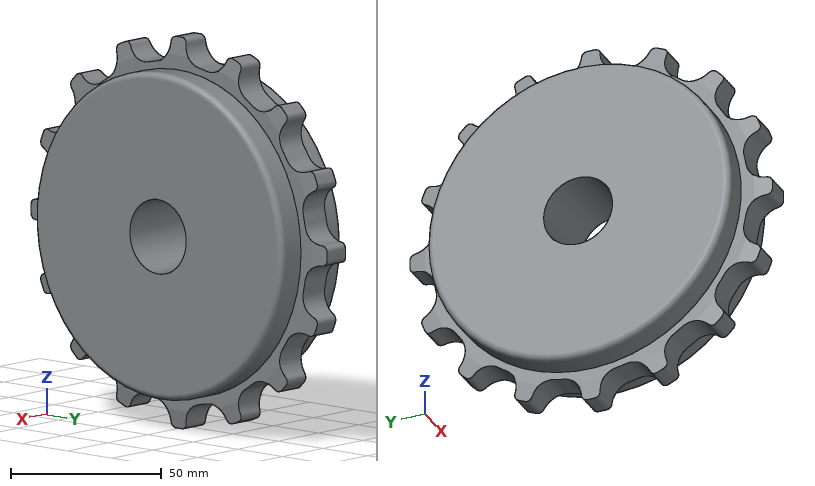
import cadquery as cq
import math

hub_width = 30.0
hub_radius = 55.1
hub_edge_radius = 2.1
bore_diameter = 25.1

tooth_count = 16
tip_radius = 66.0
root_radius = 57.6
rim_width = 10.7

tip_half_width = 3.2
tip_corner_radius = 2.0
seat_radius = 7.3
seat_angle = 9.5

taper_start_height = 59.8
taper_depth = 0.8

tooth_pitch_angle = 360.0 / tooth_count


def polar(radius, angle):
    """Point at a radius, with the angle in degrees measured from +Z toward +Y."""
    turn = math.radians(angle)
    return (radius * math.sin(turn), radius * math.cos(turn))


def mirrored(point):
    """The same point on the other side of the tooth centre line."""
    return (-point[0], point[1])


def seat_point(direction):
    """Point on the roller seat in a direction given in degrees from its centre."""
    centre = polar(root_radius + seat_radius, seat_angle)
    offset = polar(seat_radius, direction)
    return (centre[0] + offset[0], centre[1] + offset[1])


def flank_direction(corner):
    """Direction from the seat centre to where a line from the tip corner touches the seat."""
    centre = polar(root_radius + seat_radius, seat_angle)
    to_corner_y = corner[0] - centre[0]
    to_corner_z = corner[1] - centre[1]
    corner_angle = math.degrees(math.atan2(to_corner_y, to_corner_z))
    corner_distance = math.hypot(to_corner_y, to_corner_z)
    return corner_angle - math.degrees(math.acos(seat_radius / corner_distance))


def make_hub():
    hub = cq.Workplane("YZ").circle(hub_radius).extrude(hub_width / 2, both=True)
    return hub.edges().fillet(hub_edge_radius)


def make_tooth():
    """A tooth with its roots, running from one gap centre to the next."""
    tip_corner = (tip_half_width, math.sqrt(tip_radius**2 - tip_half_width**2))
    flank_end_direction = flank_direction(tip_corner)
    seat_bottom_direction = seat_angle - 180
    seat_middle_direction = (flank_end_direction + seat_bottom_direction) / 2

    flank_end = seat_point(flank_end_direction)
    seat_middle = seat_point(seat_middle_direction)
    seat_bottom = polar(root_radius, seat_angle)
    gap_centre = polar(root_radius, tooth_pitch_angle / 2)
    root_middle = polar(root_radius, (seat_angle + tooth_pitch_angle / 2) / 2)

    tooth = (
        cq.Workplane("YZ")
        .moveTo(0, 0)
        .lineTo(*gap_centre)
        .threePointArc(root_middle, seat_bottom)
        .threePointArc(seat_middle, flank_end)
        .lineTo(*tip_corner)
        .threePointArc((0, tip_radius), mirrored(tip_corner))
        .lineTo(*mirrored(flank_end))
        .threePointArc(mirrored(seat_middle), mirrored(seat_bottom))
        .threePointArc(mirrored(root_middle), mirrored(gap_centre))
        .close()
        .extrude(rim_width / 2, both=True)
    )
    corner_box = cq.selectors.BoxSelector(
        (-rim_width, -2 * tip_half_width, tip_corner[1] - tip_corner_radius),
        (rim_width, 2 * tip_half_width, tip_radius + tip_corner_radius),
    )
    tooth = tooth.edges("|X").edges(corner_box).fillet(tip_corner_radius)

    taper = (
        cq.Workplane("XZ")
        .moveTo(rim_width / 2, taper_start_height)
        .lineTo(rim_width / 2 - taper_depth, tip_radius)
        .lineTo(rim_width, tip_radius)
        .lineTo(rim_width, taper_start_height)
        .close()
        .extrude(rim_width, both=True)
    )
    return tooth.cut(taper).cut(taper.mirror("YZ"))


def make_sprocket():
    tooth = make_tooth()
    sprocket = make_hub()
    for index in range(tooth_count):
        sprocket = sprocket.union(tooth.rotate((0, 0, 0), (1, 0, 0), index * tooth_pitch_angle))
    return sprocket.faces("<X").workplane(origin=(0, 0, 0)).hole(bore_diameter)


result = make_sprocket()